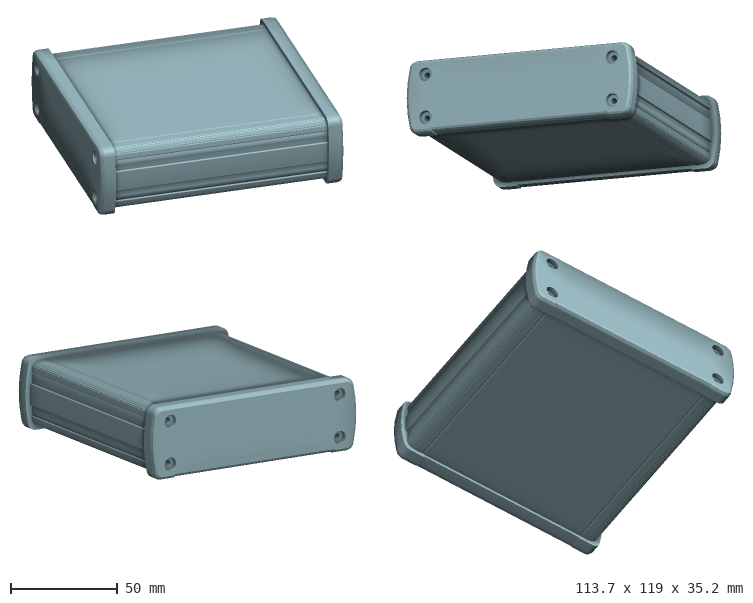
import cadquery as cq
import math

total_width = 113.7
total_length = 119.0
total_height = 35.2

cap_thickness = 7.4
cap_corner_radius = 4.3
side_arc_radius = 65.0
foot_inner_x = 43.6
foot_height = 0.5
edge_bevels = ((0.5, 0.08), (1.4, 0.57), (0.45, 0.95))
bevel_total_depth = sum(depth for depth, inset in edge_bevels)

screw_x = 46.8
screw_z = 10.35
screw_hole_diameter = 3.0
counterbore_diameter = 6.4
counterbore_depth = 2.5

housing_length = total_length - 2 * cap_thickness
housing_half_width = 54.4
housing_half_height = 15.6
serration_start_x = 48.9
serration_arc_radius = 5.4
serration_end_angle = 35.0
serration_count = 5
serration_depth = 0.25
seam_groove_x = 44.5
seam_groove_width = 1.0
seam_groove_depth = 0.5

mouth_low_z = 5.2
mouth_high_z = 10.6
lip_radius = 0.5
groove_floor_x = 53.3
bump_end_z = 7.62
bump_center_z = 8.4
bump_radius = 3.7
cove_depth = 0.1


def side_x(z, half_width):
    """X of the bulged side arc at height z."""
    return half_width - side_arc_radius + math.sqrt(side_arc_radius**2 - z**2)


def add_bulged_side(outline, middle_x, z_end):
    """Draw the bulged side, level across from the current point to z_end, with its middle at middle_x."""
    end_x = math.copysign(side_x(z_end, abs(middle_x)), middle_x)
    return outline.threePointArc((middle_x, 0), (end_x, z_end))


def at_corners(shape):
    """The four copies of a +X +Z corner shape, mirrored to every corner."""
    upper = shape.union(shape.mirror("YZ"))
    return upper.union(upper.mirror("XY"))


def screw_points():
    return [(x, z) for x in (-screw_x, screw_x) for z in (-screw_z, screw_z)]



def serrated_corner():
    """Peaks and valleys of the +X +Z corner, from the top face down to the side."""
    center_z = housing_half_height - serration_arc_radius
    step_count = 2 * serration_count
    points = []
    for step in range(step_count + 1):
        angle = math.radians(90 - (90 - serration_end_angle) * step / step_count)
        radius = serration_arc_radius - serration_depth * (step % 2)
        points.append((serration_start_x + radius * math.cos(angle), center_z + radius * math.sin(angle)))
    return points


def housing_blank():
    corner = serrated_corner()
    side_top_z = corner[-1][1]
    side_top_x = side_x(side_top_z, housing_half_width)
    top_right = corner[:-1] + [(side_top_x, side_top_z)]
    bottom_right = [(x, -z) for x, z in reversed(top_right)]
    bottom_left = [(-x, -z) for x, z in top_right]
    top_left = [(-x, z) for x, z in reversed(top_right)]
    outline = cq.Workplane("XZ").polyline(top_right)
    outline = add_bulged_side(outline, housing_half_width, -side_top_z)
    for point in bottom_right[1:] + bottom_left:
        outline = outline.lineTo(*point)
    outline = add_bulged_side(outline, -housing_half_width, side_top_z)
    for point in top_left[1:]:
        outline = outline.lineTo(*point)
    return outline.close().extrude(housing_length / 2, both=True)


def side_groove():
    """Groove in the +X +Z quarter: its floor has a cove below and a rounded bump above."""
    bump_center_x = groove_floor_x - bump_radius

    def bump_x(z):
        return bump_center_x + math.sqrt(bump_radius**2 - (z - bump_center_z) ** 2)

    outside_x = housing_half_width + 1
    cove_middle_z = (mouth_low_z + bump_end_z) / 2
    return (
        cq.Workplane("XZ")
        .moveTo(outside_x, mouth_low_z)
        .lineTo(groove_floor_x, mouth_low_z)
        .threePointArc((groove_floor_x - cove_depth, cove_middle_z), (bump_x(bump_end_z), bump_end_z))
        .threePointArc((groove_floor_x, bump_center_z), (bump_x(mouth_high_z), mouth_high_z))
        .lineTo(outside_x, mouth_high_z)
        .close()
        .extrude(housing_length / 2, both=True)
    )


def seam_groove():
    """V groove along the top face in the +X half."""
    half_width = seam_groove_width / 2
    return (
        cq.Workplane("XZ")
        .polyline([
            (seam_groove_x - half_width, housing_half_height),
            (seam_groove_x, housing_half_height - seam_groove_depth),
            (seam_groove_x + half_width, housing_half_height),
        ])
        .close()
        .extrude(housing_length / 2, both=True)
    )


def groove_lip_edges(body):
    """Select the long outer edges of the four side grooves."""
    reach = 0.2
    long_edges = body.edges("|Y")
    lips = []
    for edge in long_edges.vals():
        center = edge.Center()
        for lip_z in (mouth_low_z, mouth_high_z):
            on_side = abs(abs(center.x) - side_x(lip_z, housing_half_width)) < reach
            if on_side and abs(abs(center.z) - lip_z) < reach:
                lips.append(edge)
    return body.newObject(lips)


def make_housing():
    body = housing_blank().cut(at_corners(side_groove())).cut(at_corners(seam_groove()))
    body = groove_lip_edges(body).fillet(lip_radius)
    screw_channels = (
        cq.Workplane("XZ")
        .pushPoints(screw_points())
        .circle(screw_hole_diameter / 2)
        .extrude(housing_length / 2, both=True)
    )
    return body.cut(screw_channels)



def cap_blank():
    """Cap plate with bulged sides and round corners, its outer face at the -Y end."""
    half_width = total_width / 2
    half_height = total_height / 2
    corner_x = side_x(half_height, half_width)
    outline = cq.Workplane("XZ", origin=(0, -housing_length / 2, 0)).moveTo(corner_x, half_height)
    outline = add_bulged_side(outline, half_width, -half_height)
    outline = outline.lineTo(-corner_x, -half_height)
    outline = add_bulged_side(outline, -half_width, half_height)
    plate = outline.close().extrude(cap_thickness - bevel_total_depth)
    corners = cq.selectors.BoxSelector(
        (-total_width, -total_length, half_height / 2), (total_width, 0, total_height)
    ) + cq.selectors.BoxSelector(
        (-total_width, -total_length, -total_height), (total_width, 0, -half_height / 2)
    )
    return plate.edges("|Y").edges(corners).fillet(cap_corner_radius)


def foot_relief():
    """Shallow relief along the bottom that leaves a foot at each end of the cap."""
    return cq.Workplane("XY", origin=(0, 0, -total_height / 2)).box(
        2 * foot_inner_x, 2 * total_length, 2 * foot_height
    )


def screw_holes():
    """Counterbored holes for the four screws."""
    return (
        cq.Workplane("XZ", origin=(0, -total_length / 2, 0))
        .pushPoints(screw_points())
        .circle(counterbore_diameter / 2)
        .extrude(-counterbore_depth)
        .pushPoints(screw_points())
        .circle(screw_hole_diameter / 2)
        .extrude(-cap_thickness)
    )


def make_cap():
    """Cap on the -Y end of the housing."""
    cap = cap_blank().cut(foot_relief())
    for depth, inset in edge_bevels:
        slope = math.degrees(math.atan2(inset, depth))
        cap = cap.faces("<Y").wires().toPending().workplane().extrude(depth, taper=slope)
    return cap.cut(screw_holes())


housing = make_housing()
front_cap = make_cap()
back_cap = front_cap.mirror("XZ")

result = cq.Compound.makeCompound([housing.val(), front_cap.val(), back_cap.val()])